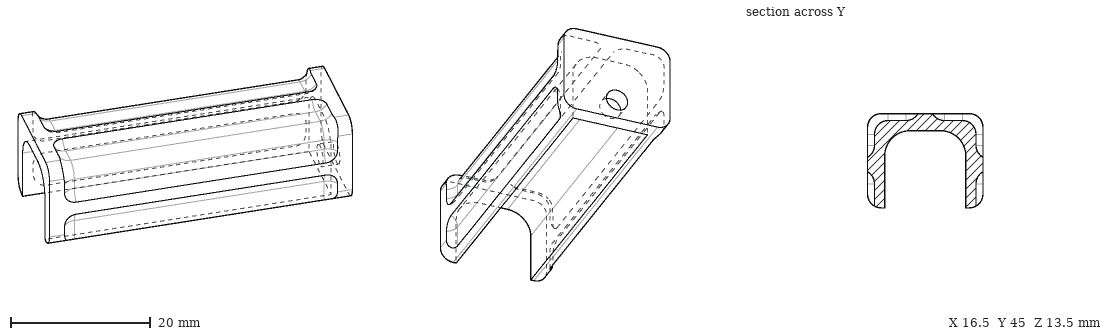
import cadquery as cq
import math

width = 16.5
length = 45.0
height = 13.5
edge_radius = 2.0

wall = 2.48
end_wall = wall
channel_radius = 3.6
hole_diameter = 3.3
hole_height = 3.0

pocket_depth = 1.0
pocket_radius = 2.0
rib_width = 2.05
side_rib_center = 6.2
pocket_end_margin = 2.0

rib_flare = pocket_radius - math.sqrt(pocket_radius**2 - (pocket_radius - pocket_depth) ** 2)
rib_half_gap = rib_width / 2 - rib_flare

pocket_length = length - 2 * pocket_end_margin
tool_reach = 9.0
floor_x = width / 2 - pocket_depth
floor_z = height - pocket_depth
outer_x = width / 2 + tool_reach


def y_prism(profile, prism_length):
    """Extrude a closed XZ profile symmetrically about Y = 0."""
    return profile.extrude(prism_length / 2, both=True)


def make_body():
    outline = cq.Workplane("XZ").center(0, height / 2).rect(width, height)
    return y_prism(outline, length).edges("|Y").fillet(edge_radius)


def make_channel():
    """Round-topped channel that stops at the +Y end wall."""
    channel_length = length - end_wall
    return (
        cq.Workplane("XY", origin=(0, -end_wall / 2, 0))
        .box(width - 2 * wall, channel_length, height - wall, centered=(True, True, False))
        .edges("|Y and >Z")
        .fillet(channel_radius)
    )


def make_hole():
    return (
        cq.Workplane("XZ", origin=(0, length / 2, hole_height))
        .circle(hole_diameter / 2)
        .extrude(2 * end_wall)
    )


def make_corner_pocket():
    """Tool for the pocket wrapping the +X upper edge, with rounded floor edges."""
    bottom_z = side_rib_center + rib_half_gap
    top_z = height + tool_reach
    corner_shift = edge_radius * (1 - math.sqrt(0.5))
    profile = (
        cq.Workplane("XZ")
        .moveTo(rib_half_gap, floor_z)
        .lineTo(floor_x - edge_radius, floor_z)
        .threePointArc((floor_x - corner_shift, floor_z - corner_shift), (floor_x, floor_z - edge_radius))
        .lineTo(floor_x, bottom_z)
        .lineTo(outer_x, bottom_z)
        .lineTo(outer_x, top_z)
        .lineTo(rib_half_gap, top_z)
        .close()
    )
    tool = y_prism(profile, pocket_length)
    return tool.edges("not(>X or >Z)").fillet(pocket_radius)


def make_lower_pocket():
    """Tool for the lower +X side pocket, open through the bottom of the body."""
    top_z = side_rib_center - rib_half_gap
    profile = (
        cq.Workplane("XZ")
        .moveTo(floor_x, -tool_reach)
        .lineTo(outer_x, -tool_reach)
        .lineTo(outer_x, top_z)
        .lineTo(floor_x, top_z)
        .close()
    )
    tool = y_prism(profile, pocket_length)
    return tool.edges("not(>X or <Z)").fillet(pocket_radius)


result = make_body().cut(make_channel()).cut(make_hole())
for pocket in (make_corner_pocket(), make_lower_pocket()):
    result = result.cut(pocket).cut(pocket.mirror("YZ"))